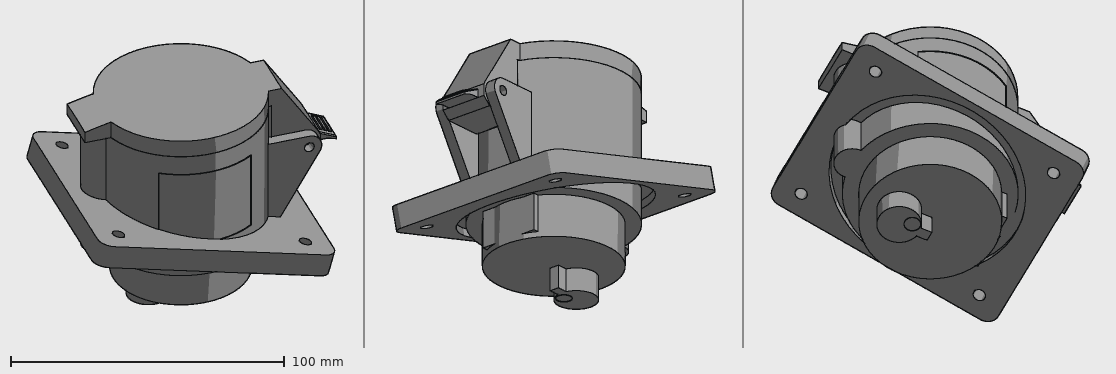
import cadquery as cq
import math


HOUSING_RADIUS = 32.1
HOUSING_HEIGHT = 52.3
BOSS_RADIUS = 6.7
BOSS_Y = -31.7

LABEL_DEPTH = 0.3
LABEL_HALF_ANGLE = 34
LABEL_BOTTOM = 13.7
LABEL_TOP = 44.3

FLANGE_WIDTH = 80.0
FLANGE_LENGTH = 94.9
FLANGE_THICKNESS = 9.0
FLANGE_TILT = 15
FLANGE_CENTER_Z = 10.1
FLANGE_CORNER_RADIUS = 5.0
SCREW_HOLE_DIAMETER = 4.6
SCREW_SPACING_X = 62
SCREW_SPACING_Y = 75.0
GASKET_RECESS_RADIUS = 37.0
GASKET_RECESS_DEPTH = 2.9

PIVOT_Y = 44.8
PIVOT_Z = 33.9
PIVOT_HOLE_RADIUS = 1.9
EAR_RADIUS = 4.8
EAR_SLOPE = 31
EAR_OUTER_X = 14.2
ARM_HALF_WIDTH = 9.9
ARM_FACE_Y = 31.7
EAR_BOTTOM_Z = 4.2

LID_RADIUS = 32.0
LID_RIM_Z = 59.1
DOME_RISE = 3.3
LIP_REACH = 40.6
ARM_TOP_Y = 35.6
ARM_SLOPE_END_Y = 49.8
ARM_SLOPE_END_Z = 37.4
ARM_BACK_Y = 50.6
ARM_BACK_TOP_Z = 35.9
ARM_BACK_BOTTOM_Z = 31.2
ARM_TOE_Y = 47.5
ARM_BOTTOM_Z = 28.1

TAB_WIDTH = 14.0
TAB_TOP_Z = 34.9
TAB_TIP_Y = 58.0
TAB_TIP_TOP_Z = 31.4
TAB_TIP_BOTTOM_Z = 30.1
TAB_THIN_Y = 54.3
TAB_BEVEL = 0.4
RIDGE_WIDTH = 9.2
RIDGE_LENGTH = 1
RIDGE_HEIGHT = 0.6
RIDGE_FIRST_Y = 52.6
RIDGE_PITCH = 1.8
RIDGE_COUNT = 3

INSERT_RADIUS = 26.2
INSERT_LENGTH = 16.9
PAD_WIDTH = 24.5
PAD_OUTER_Y = 25.3
PAD_LENGTH = 14.7
STUB_RADIUS = 8.2
STUB_Y = -12.6
STUB_LENGTH = 9.1
STUB_KEY_WIDTH = 4.0
STUB_KEY_END_Y = -0.3
FOOT_RADIUS = 3.0
FOOT_X = 2.3
FOOT_Y = -8.4
FOOT_HEIGHT = 0.2


def box_between(x_range, y_range, z_range):
    """Box given by its lower and upper limit along each axis."""
    limits = (x_range, y_range, z_range)
    sizes = [high - low for low, high in limits]
    corner = tuple(low for low, high in limits)
    return cq.Workplane("XY").box(*sizes, centered=False).translate(corner)


def cylinder(radius, bottom, top, x=0, y=0):
    """Upright cylinder between two heights."""
    return cq.Workplane("XY", origin=(x, y, bottom)).circle(radius).extrude(top - bottom)


def side_plane(x):
    """Plane across X, on which sketch coordinates are Y and Z."""
    return cq.Workplane("YZ", origin=(x, 0, 0))


def pivot_hole():
    return (
        side_plane(-EAR_OUTER_X)
        .center(PIVOT_Y, PIVOT_Z)
        .circle(PIVOT_HOLE_RADIUS)
        .extrude(2 * EAR_OUTER_X)
    )


def label_recess():
    """Shallow band around the +X side of the housing."""
    reach = 2 * HOUSING_RADIUS
    half_width = reach * math.tan(math.radians(LABEL_HALF_ANGLE))
    sector = (
        cq.Workplane("XY", origin=(0, 0, LABEL_BOTTOM))
        .polyline([(0, 0), (reach, -half_width), (reach, half_width)])
        .close()
        .extrude(LABEL_TOP - LABEL_BOTTOM)
    )
    return sector.cut(cylinder(HOUSING_RADIUS - LABEL_DEPTH, LABEL_BOTTOM, LABEL_TOP))


def arm_flat():
    """Shallow flat on the back of the housing, against which the lid arm lies."""
    return box_between(
        (-ARM_HALF_WIDTH, ARM_HALF_WIDTH), (ARM_FACE_Y, HOUSING_RADIUS), (ARM_BOTTOM_Z, HOUSING_HEIGHT)
    )


def flange():
    """Rounded plate with four screw holes and a gasket recess below, tilted about X."""
    plate = (
        cq.Workplane("XY")
        .box(FLANGE_WIDTH, FLANGE_LENGTH, FLANGE_THICKNESS)
        .edges("|Z")
        .fillet(FLANGE_CORNER_RADIUS)
        .faces(">Z")
        .workplane()
        .rect(SCREW_SPACING_X, SCREW_SPACING_Y, forConstruction=True)
        .vertices()
        .hole(SCREW_HOLE_DIAMETER)
    )
    underside = -FLANGE_THICKNESS / 2
    plate = plate.cut(cylinder(GASKET_RECESS_RADIUS, underside, underside + GASKET_RECESS_DEPTH))
    return plate.rotate((0, 0, 0), (1, 0, 0), -FLANGE_TILT).translate((0, 0, FLANGE_CENTER_Z))


def hinge_ear(inner_x):
    """Plate with a rounded end about the pivot and an edge sloping down to the flange."""
    slope = math.radians(EAR_SLOPE)
    tangent_y = PIVOT_Y + EAR_RADIUS * math.cos(slope)
    tangent_z = PIVOT_Z - EAR_RADIUS * math.sin(slope)
    foot_y = tangent_y - (tangent_z - EAR_BOTTOM_Z) * math.tan(slope)
    mid_angle = (math.pi / 2 - slope) / 2
    arc_middle = (
        PIVOT_Y + EAR_RADIUS * math.cos(mid_angle),
        PIVOT_Z + EAR_RADIUS * math.sin(mid_angle),
    )
    return (
        side_plane(inner_x)
        .moveTo(0, PIVOT_Z + EAR_RADIUS)
        .lineTo(PIVOT_Y, PIVOT_Z + EAR_RADIUS)
        .threePointArc(arc_middle, (tangent_y, tangent_z))
        .lineTo(foot_y, EAR_BOTTOM_Z)
        .lineTo(0, EAR_BOTTOM_Z)
        .close()
        .extrude(EAR_OUTER_X - ARM_HALF_WIDTH)
    )


def make_housing():
    body = cylinder(HOUSING_RADIUS, 0, HOUSING_HEIGHT).cut(label_recess()).cut(arm_flat())
    body = body.union(cylinder(BOSS_RADIUS, 0, HOUSING_HEIGHT, y=BOSS_Y))
    body = body.union(flange())
    for inner_x in (-EAR_OUTER_X, ARM_HALF_WIDTH):
        body = body.union(hinge_ear(inner_x))
    return body.cut(pivot_hole())


def lid_cap():
    """Disc and front lip, both topped by one shallow sphere."""
    dome_radius = (LID_RADIUS**2 + DOME_RISE**2) / (2 * DOME_RISE)
    top = LID_RIM_Z + DOME_RISE
    lip = box_between(
        (-ARM_HALF_WIDTH, ARM_HALF_WIDTH), (-LIP_REACH, 0), (HOUSING_HEIGHT, top)
    )
    dome = cq.Workplane("XY").sphere(dome_radius).translate((0, 0, top - dome_radius))
    return cylinder(LID_RADIUS, HOUSING_HEIGHT, top).union(lip).intersect(dome)


def lid_arm():
    """Block behind the lid that reaches down between the hinge ears."""
    arm = (
        side_plane(-ARM_HALF_WIDTH)
        .polyline(
            [
                (0, LID_RIM_Z),
                (ARM_TOP_Y, LID_RIM_Z),
                (ARM_SLOPE_END_Y, ARM_SLOPE_END_Z),
                (ARM_BACK_Y, ARM_BACK_TOP_Z),
                (ARM_BACK_Y, ARM_BACK_BOTTOM_Z),
                (ARM_TOE_Y, ARM_BOTTOM_Z),
                (ARM_FACE_Y, ARM_BOTTOM_Z),
                (ARM_FACE_Y, HOUSING_HEIGHT),
                (0, HOUSING_HEIGHT),
            ]
        )
        .close()
        .extrude(2 * ARM_HALF_WIDTH)
    )
    return arm.cut(pivot_hole())


def thumb_tab():
    """Bevelled wedge behind the arm with grip ridges across its sloping top."""
    fall = (TAB_TOP_Z - TAB_TIP_TOP_Z) / (TAB_TIP_Y - ARM_BACK_Y)
    root_top_z = TAB_TOP_Z + fall * (ARM_BACK_Y - ARM_TOE_Y)
    top_middle = (0, (ARM_TOE_Y + TAB_TIP_Y) / 2, (root_top_z + TAB_TIP_TOP_Z) / 2)
    tab = (
        side_plane(-TAB_WIDTH / 2)
        .polyline(
            [
                (ARM_TOE_Y, root_top_z),
                (TAB_TIP_Y, TAB_TIP_TOP_Z),
                (TAB_TIP_Y, TAB_TIP_BOTTOM_Z),
                (TAB_THIN_Y, ARM_BACK_BOTTOM_Z),
                (ARM_TOE_Y, ARM_BACK_BOTTOM_Z),
            ]
        )
        .close()
        .extrude(TAB_WIDTH)
        .faces(cq.NearestToPointSelector(top_middle))
        .edges()
        .chamfer(TAB_BEVEL)
    )
    for index in range(RIDGE_COUNT):
        center_y = RIDGE_FIRST_Y + index * RIDGE_PITCH
        center_z = TAB_TOP_Z - fall * (center_y - ARM_BACK_Y)
        ridge = (
            cq.Workplane("XY")
            .box(RIDGE_WIDTH, RIDGE_LENGTH, 2 * RIDGE_HEIGHT)
            .rotate((0, 0, 0), (1, 0, 0), -math.degrees(math.atan(fall)))
            .translate((0, center_y, center_z))
        )
        tab = tab.union(ridge)
    return tab


def make_lid():
    return lid_cap().union(lid_arm()).union(thumb_tab())


def make_insert():
    """Round insert with a flat pad at the back and a keyed stub below."""
    body = cylinder(INSERT_RADIUS, -INSERT_LENGTH, 0)
    pad = box_between((-PAD_WIDTH / 2, PAD_WIDTH / 2), (0, PAD_OUTER_Y), (-PAD_LENGTH, 0))
    stub_bottom = -INSERT_LENGTH - STUB_LENGTH
    stub = cylinder(STUB_RADIUS, stub_bottom, -INSERT_LENGTH, y=STUB_Y)
    key = box_between(
        (-STUB_KEY_WIDTH / 2, STUB_KEY_WIDTH / 2),
        (STUB_Y, STUB_KEY_END_Y),
        (stub_bottom, -INSERT_LENGTH),
    )
    foot = cylinder(FOOT_RADIUS, stub_bottom - FOOT_HEIGHT, stub_bottom, FOOT_X, FOOT_Y)
    return body.union(pad).union(stub).union(key).union(foot)


housing = make_housing()
lid = make_lid()
insert = make_insert()

result = cq.Compound.makeCompound([housing.val(), lid.val(), insert.val()])